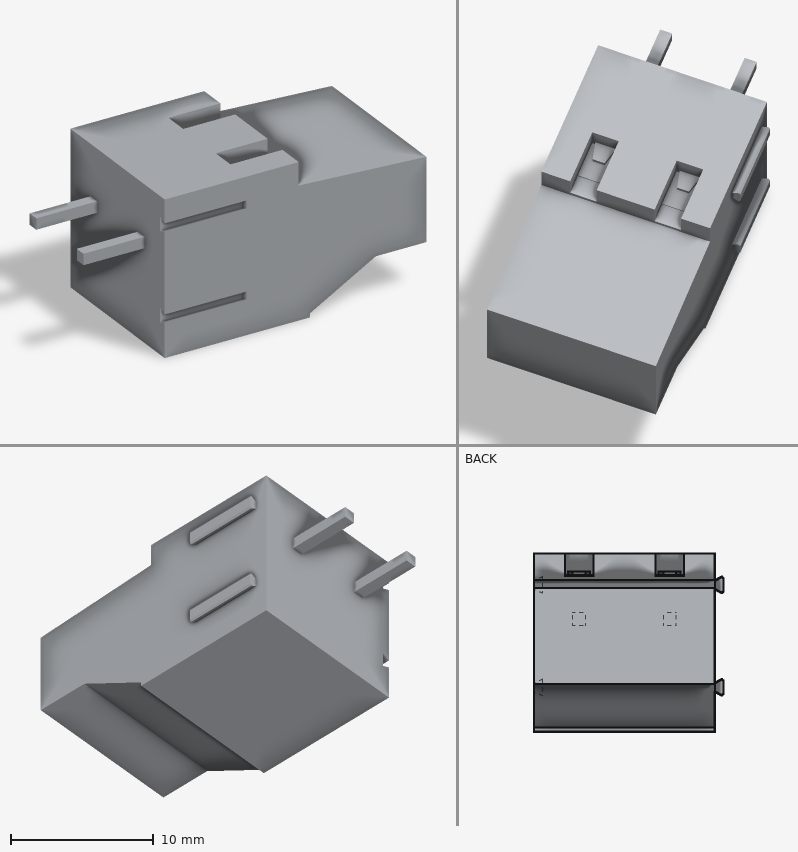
import cadquery as cq

total_length = 26.5
body_width = 12.7
body_height = 12.5
pin_length = 5.0

top_step_y = 16.0
step_drop = 1.85
nose_drop = 2.4
bottom_step_y = 16.93
bottom_step_height = 0.32
nose_floor_y = 22.35
nose_floor_height = 3.37

pole_pitch = body_width / 2
pole_positions = [pole_pitch / 2, 3 * pole_pitch / 2]
pin_size = 0.9
pin_height = 7.92

slot_width = 2.0
slot_end_y = 11.75
slot_front_depth = 1.6
floor_rise = 0.08
floor_rise_y = 14.55
slot_rear_depth = slot_front_depth - floor_rise

pad_length = 1.35
pad_wide = 1.55
pad_narrow = 0.9
pad_height = 0.26

rail_heights = [3.13, 10.3]
rail_start_y = 6.0
rail_end_y = slot_end_y
rail_depth = 0.6
rail_edge_depth = 0.13
rail_face_width = 0.87
rail_max_width = 1.15
rail_neck_width = 0.64


def make_housing():
    """Side profile extruded across the full width."""
    profile = [
        (pin_length, 0),
        (bottom_step_y, 0),
        (bottom_step_y, bottom_step_height),
        (nose_floor_y, nose_floor_height),
        (total_length, nose_floor_height),
        (total_length, body_height - nose_drop),
        (top_step_y, body_height - step_drop),
        (top_step_y, body_height),
        (pin_length, body_height),
    ]
    return cq.Workplane("YZ").polyline(profile).close().extrude(body_width)


def make_pin(x):
    """Square pin ending flush with the front face of the housing."""
    return (
        cq.Workplane("XZ")
        .center(x, pin_height)
        .rect(pin_size, pin_size)
        .extrude(-pin_length)
    )


def make_slot(x):
    """Stepped slot volume, cut down from the top face."""
    profile = [
        (slot_end_y, body_height),
        (slot_end_y, body_height - slot_rear_depth),
        (floor_rise_y, body_height - slot_rear_depth),
        (floor_rise_y, body_height - slot_front_depth),
        (top_step_y, body_height - slot_front_depth),
        (top_step_y, body_height),
    ]
    slot = cq.Workplane("YZ").polyline(profile).close().extrude(slot_width)
    return slot.translate((x - slot_width / 2, 0, 0))


def make_pad(x):
    """Trapezoid pad, wide at the end wall and narrow towards the nose."""
    outline = [
        (x - pad_wide / 2, slot_end_y),
        (x + pad_wide / 2, slot_end_y),
        (x + pad_narrow / 2, slot_end_y + pad_length),
        (x - pad_narrow / 2, slot_end_y + pad_length),
    ]
    floor = cq.Workplane("XY", origin=(0, 0, body_height - slot_rear_depth))
    return floor.polyline(outline).close().extrude(pad_height)


def make_rail(z):
    """Dovetail rail with bevelled outer edges."""
    half_profile = [
        (0, rail_neck_width / 2),
        (rail_edge_depth - rail_depth, rail_max_width / 2),
        (-rail_depth, rail_face_width / 2),
    ]
    mirrored = [(x, -height) for x, height in reversed(half_profile)]
    rail = cq.Workplane("XZ").polyline(half_profile + mirrored).close()
    return rail.extrude(rail_start_y - rail_end_y).translate((0, rail_start_y, z))


def make_groove(z):
    """Dovetail groove, open at the front face, ending level with the rails."""
    profile = [
        (body_width, rail_neck_width / 2),
        (body_width - rail_depth, rail_max_width / 2),
        (body_width - rail_depth, -rail_max_width / 2),
        (body_width, -rail_neck_width / 2),
    ]
    groove = cq.Workplane("XZ").polyline(profile).close()
    return groove.extrude(pin_length - rail_end_y).translate((0, pin_length, z))


result = make_housing()
for pole_x in pole_positions:
    result = result.cut(make_slot(pole_x)).union(make_pad(pole_x)).union(make_pin(pole_x))
for rail_z in rail_heights:
    result = result.union(make_rail(rail_z)).cut(make_groove(rail_z))